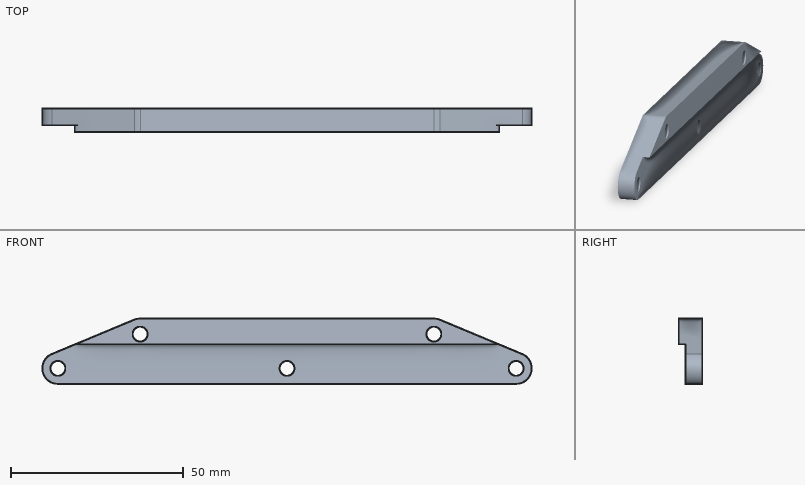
import cadquery as cq
import math

length = 141.8
height = 19.0
depth = 7.0

plate_depth = 5.0
step_height = 11.5
corner_radius = 4.5
hole_diameter = 4.3
upper_hole_x = 42.5

lower_hole_x = length / 2 - corner_radius
lower_hole_z = corner_radius
upper_hole_z = height - corner_radius

slope_angle = math.atan2(upper_hole_z - lower_hole_z, lower_hole_x - upper_hole_x)


def corner_point(center_x, center_z, angle):
    """Point on a corner circle, at an angle measured from +X towards +Z."""
    return (
        center_x + corner_radius * math.cos(angle),
        center_z + corner_radius * math.sin(angle),
    )


def mirrored(point):
    return (-point[0], point[1])


def make_outline():
    """Rounded trapezoid in the XZ plane, placed on the back face."""
    up = math.pi / 2
    tangent = up - slope_angle
    lower_mid = corner_point(lower_hole_x, lower_hole_z, (tangent - up) / 2)
    lower_end = corner_point(lower_hole_x, lower_hole_z, tangent)
    upper_start = corner_point(upper_hole_x, upper_hole_z, tangent)
    upper_mid = corner_point(upper_hole_x, upper_hole_z, (tangent + up) / 2)
    return (
        cq.Workplane("XZ", origin=(0, depth, 0))
        .moveTo(-lower_hole_x, 0)
        .lineTo(lower_hole_x, 0)
        .threePointArc(lower_mid, lower_end)
        .lineTo(*upper_start)
        .threePointArc(upper_mid, (upper_hole_x, height))
        .lineTo(-upper_hole_x, height)
        .threePointArc(mirrored(upper_mid), mirrored(upper_start))
        .lineTo(*mirrored(lower_end))
        .threePointArc(mirrored(lower_mid), (-lower_hole_x, 0))
        .close()
    )


body = make_outline().extrude(depth)

step_cut = cq.Workplane("XY").box(
    length, depth - plate_depth, step_height, centered=(True, False, False)
)

hole_centers = [(0, lower_hole_z)]
for side in (-1, 1):
    hole_centers.append((side * lower_hole_x, lower_hole_z))
    hole_centers.append((side * upper_hole_x, upper_hole_z))

holes = (
    cq.Workplane("XZ", origin=(0, depth, 0))
    .pushPoints(hole_centers)
    .circle(hole_diameter / 2)
    .extrude(depth)
)

result = body.cut(step_cut).cut(holes)